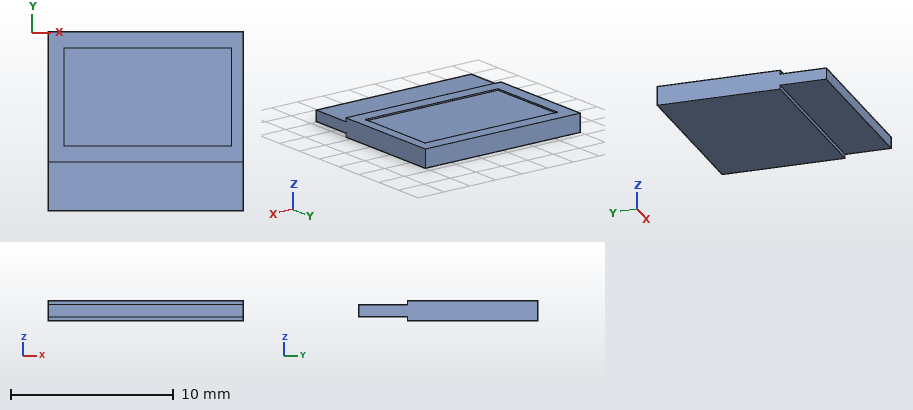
import cadquery as cq

width = 12.0
body_length = 8.0
tab_length = 3.0
body_thickness = 1.25

tab_step = 0.25
tab_thickness = body_thickness - 2 * tab_step

window_left_margin = 1.0
window_right_margin = 0.75
window_end_margin = 1.0
window_depth = 0.1
window_width = width - window_left_margin - window_right_margin
window_length = body_length - 2 * window_end_margin


def corner_box(size_x, size_y, size_z, corner):
    """Box with its lowest X, Y, Z corner at the given point."""
    return cq.Workplane("XY").box(size_x, size_y, size_z, centered=False).translate(corner)


tab = corner_box(width, tab_length, tab_thickness, (0, 0, tab_step))
body = corner_box(width, body_length, body_thickness, (0, tab_length, 0))
window = corner_box(
    window_width,
    window_length,
    window_depth,
    (window_left_margin, tab_length + window_end_margin, body_thickness - window_depth),
)

result = body.union(tab).cut(window)